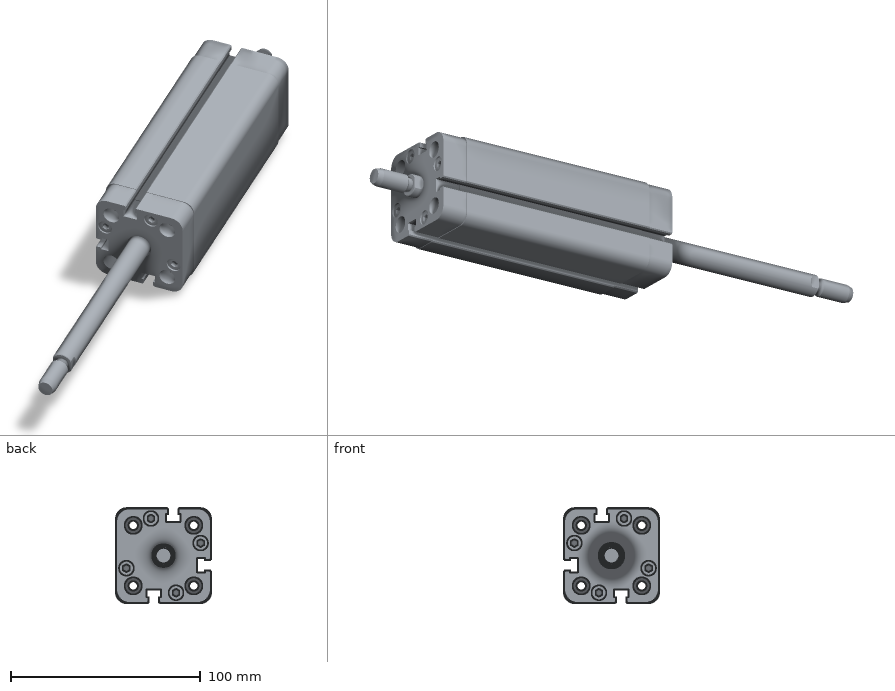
import cadquery as cq
import math


side = 50.2
body_length = 144.8
cap_length = 14.7
cap_inset = 0.3
cap_corner_radius = 6.5
tube_corner_radius = 6.0

slot_offset = 5.0
slot_mouth_width = 5.5
slot_inner_width = 7.5
slot_depth = 7.2
slot_lip = 3.3
slot_mouth_chamfer = 0.5

mount_offset = 16.0
mount_bore = 4.8
counterbore_diameter = 9.0
counterbore_depth = 9.0

screw_long_offset = 19.5
screw_short_offset = 6.5
screw_pocket_diameter = 7.8
screw_recess = 1.0
socket_width = 3.5
socket_depth = 2.5

rod_diameter = 12.0
rod_clearance_diameter = 13.5
rod_clearance_depth = 3.0
rod_front_length = 105.8
rod_rear_length = 5.0
rod_chamfer = 0.3
flat_width = 10.2
flat_length = 4.2

total_length = 300.5
neck_diameter = 7.2
thread_diameter = 10.0
thread_tip_diameter = 8.0
thread_tip_length = 3.0
thread_runout_length = 1.2
stud_front_length = 22.5
stud_rear_length = total_length - body_length - rod_front_length - rod_rear_length - stud_front_length
neck_length = 2.5


def xz_plane(y):
    """Plane at Y = y whose normal is +Y and whose local axes are X and -Z."""
    return cq.Workplane(cq.Plane(origin=(0, y, 0), xDir=(1, 0, 0), normal=(0, 1, 0)))


def cylinder(diameter, y_start, length, x=0, z=0):
    return xz_plane(y_start).center(x, -z).circle(diameter / 2).extrude(length)


def make_slot(y_start, length, inset):
    """Slot in the top side of a body section; the other slots are turned copies."""
    outer = side / 2 - inset
    lip = side / 2 - slot_lip
    floor = side / 2 - slot_depth - inset
    half_mouth = slot_mouth_width / 2
    half_inner = slot_inner_width / 2
    half_profile = [
        (half_inner, floor),
        (half_inner, lip),
        (half_mouth, lip),
        (half_mouth, outer - slot_mouth_chamfer),
        (half_mouth + slot_mouth_chamfer, outer),
    ]
    other_half = [(-x, z) for x, z in reversed(half_profile)]
    slot = cq.Workplane("XZ").polyline(half_profile + other_half).close().extrude(-length)
    return slot.translate((-slot_offset, y_start, 0))


def make_section(y_start, length, corner_radius, inset=0):
    """Square length of the body with slots in its top, left and bottom sides."""
    width = side - 2 * inset
    section = xz_plane(y_start).rect(width, width).extrude(length).edges("|Y").fillet(corner_radius)
    slot = make_slot(y_start, length, inset)
    for angle in (0, -90, 180):
        section = section.cut(slot.rotate((0, 0, 0), (0, 1, 0), angle))
    return section


def make_body():
    """Tube between two end caps that are slightly smaller than it."""
    tube_length = body_length - 2 * cap_length
    body = make_section(cap_length, tube_length, tube_corner_radius)
    for y in (0, cap_length + tube_length):
        body = body.union(make_section(y, cap_length, cap_corner_radius, cap_inset))
    return body


def cut_mounting_holes(body):
    for x in (-mount_offset, mount_offset):
        for z in (-mount_offset, mount_offset):
            body = body.cut(cylinder(mount_bore, 0, body_length, x, z))
            for y in (0, body_length - counterbore_depth):
                body = body.cut(cylinder(counterbore_diameter, y, counterbore_depth, x, z))
    return body


def cut_cap_screws(body):
    """Recessed screw heads with hexagon sockets in both end faces."""
    positions = (
        (screw_short_offset, screw_long_offset),
        (screw_long_offset, -screw_short_offset),
        (-screw_short_offset, -screw_long_offset),
        (-screw_long_offset, screw_short_offset),
    )
    depth = screw_recess + socket_depth
    socket_diameter = socket_width / math.cos(math.pi / 6)
    for x, z in positions:
        for pocket_y, socket_y in ((0, 0), (body_length - screw_recess, body_length - depth)):
            body = body.cut(cylinder(screw_pocket_diameter, pocket_y, screw_recess, x, z))
            socket = xz_plane(socket_y).center(x, -z).transformed(rotate=(0, 0, 90))
            body = body.cut(socket.polygon(6, socket_diameter).extrude(depth))
    return body


def make_rod_end(rod_length, stud_length):
    """Rod and threaded stud standing on Y = 0 and pointing along +Y."""
    rod_radius = rod_diameter / 2
    thread_radius = thread_diameter / 2
    tip_radius = thread_tip_diameter / 2
    neck_radius = neck_diameter / 2
    end = rod_length + stud_length
    neck_end = rod_length + neck_length
    profile = (
        cq.Workplane("XY")
        .moveTo(0, 0)
        .lineTo(rod_radius, 0)
        .lineTo(rod_radius, rod_length - rod_chamfer)
        .lineTo(rod_radius - rod_chamfer, rod_length)
        .lineTo(neck_radius, rod_length)
        .lineTo(neck_radius, neck_end)
        .lineTo(thread_radius, neck_end + thread_runout_length)
        .lineTo(thread_radius, end - thread_tip_length)
        .lineTo(tip_radius, end)
        .lineTo(0, end)
        .close()
    )
    rod = profile.revolve(360, (0, 0, 0), (0, 1, 0))

    flat_x = flat_width / 2
    cut_depth = rod_radius - flat_x
    for sign in (-1, 1):
        flat = (
            cq.Workplane("XY")
            .workplane(offset=-rod_radius)
            .moveTo(sign * flat_x, rod_length)
            .lineTo(sign * flat_x, rod_length - flat_length)
            .lineTo(sign * rod_radius, rod_length - flat_length - cut_depth)
            .lineTo(sign * rod_radius, rod_length)
            .close()
            .extrude(rod_diameter)
        )
        rod = rod.cut(flat)
    return rod


body = make_body()
body = cut_mounting_holes(body)
body = cut_cap_screws(body)
body = body.cut(cylinder(rod_clearance_diameter, 0, rod_clearance_depth))

front_end = make_rod_end(rod_front_length, stud_front_length).mirror("XZ")
rear_end = make_rod_end(rod_rear_length, stud_rear_length).translate((0, body_length, 0))
rod_core = cylinder(rod_diameter, 0, body_length)

result = body.union(rod_core).union(front_end).union(rear_end)